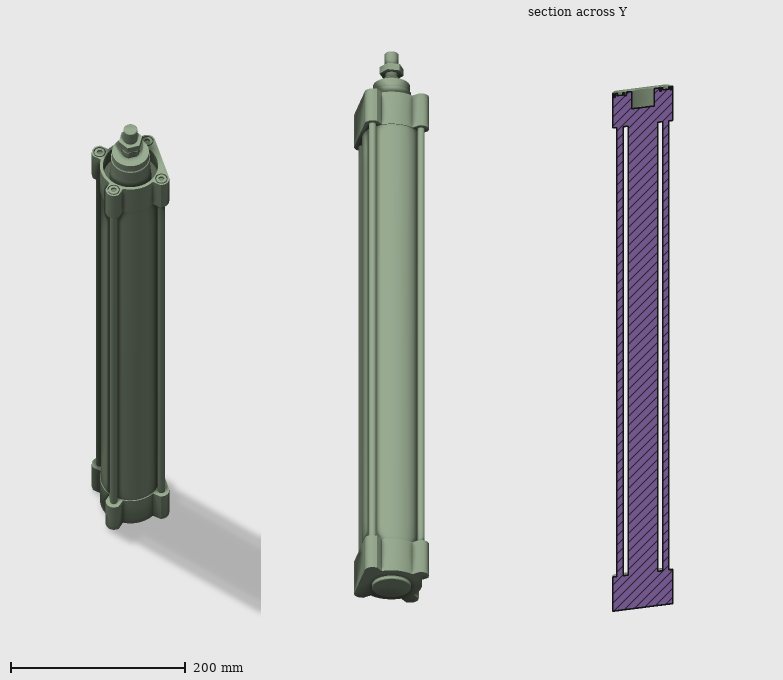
import cadquery as cq
import math

TOTAL_LENGTH = 693
BOSS_HEIGHT = 4.0
CAP_HEIGHT = 41.5
HEAD_TOP = 626.0
COLLAR_HEIGHT = 25.5
ROD_SHOULDER = 662.0
HEAD_BASE = HEAD_TOP - CAP_HEIGHT
REAR_CAP_TOP = BOSS_HEIGHT + CAP_HEIGHT
COLLAR_TOP = HEAD_TOP + COLLAR_HEIGHT

BARREL_DIAMETER = 68.0
CAP_DIAMETER = 70.0
CAP_WIDTH = 75.0
CAP_CORNER_RADIUS = 9.0
ARM_WIDTH = 17.0

TIE_ROD_SPACING = 57.0
TIE_ROD_DIAMETER = 8.0
COUNTERBORE_DIAMETER = 14.5
COUNTERBORE_DEPTH = 4.0
SCREW_HEAD_DIAMETER = 12.0
SOCKET_DIAMETER = 6.65
SOCKET_DEPTH = 3.0

COLLAR_DIAMETER = 45.0
STEP_CHAMFER = 1.05
NECK_HEIGHT = 10.0
NECK_BASE_DIAMETER = COLLAR_DIAMETER - 2 * STEP_CHAMFER
NECK_TOP_DIAMETER = 42.0
RECESS_DIAMETER = 63.0
RECESS_DEPTH = 21.0
ROOT_DIAMETER = 48.5
BOSS_CHAMFER = 1.0

ROD_DIAMETER = 20.0
THREAD_DIAMETER = 16.0
THREAD_CHAMFER = 1.0
UNDERCUT_DIAMETER = 14.5
ROD_CHAMFER = (ROD_DIAMETER - THREAD_DIAMETER) / 2
FLATS_WIDTH = 17.0

NUT_ACROSS_FLATS = 24.0
NUT_HEIGHT = 8.0
NUT_BASE = 667.0


def plane_at(level):
    return cq.Workplane("XY").workplane(offset=level)


def cylinder(diameter, base, top):
    return plane_at(base).circle(diameter / 2).extrude(top - base)


def cone(base_diameter, top_diameter, base, top):
    return cq.Workplane(
        cq.Solid.makeCone(base_diameter / 2, top_diameter / 2, top - base, cq.Vector(0, 0, base))
    )


def tie_rod_cylinders(diameter, base, top):
    """One cylinder on each of the four tie rod axes."""
    axes = plane_at(base).rect(TIE_ROD_SPACING, TIE_ROD_SPACING, forConstruction=True).vertices()
    return axes.circle(diameter / 2).extrude(top - base)


def make_cap(base):
    """Round cap with four diagonal lugs, filled out to a flat side toward +Y."""
    cap = cylinder(CAP_DIAMETER, base, base + CAP_HEIGHT)
    for angle in (45, 135):
        arm = plane_at(base).rect(2 * CAP_WIDTH, ARM_WIDTH).extrude(CAP_HEIGHT)
        cap = cap.union(arm.rotate((0, 0, 0), (0, 0, 1), angle))

    half_width = CAP_WIDTH / 2
    fill_corners = [(0, 0), (half_width, half_width), (-half_width, half_width)]
    fill = plane_at(base).polyline(fill_corners).close().extrude(CAP_HEIGHT)

    envelope = plane_at(base).rect(CAP_WIDTH, CAP_WIDTH).extrude(CAP_HEIGHT)
    envelope = envelope.edges("|Z").fillet(CAP_CORNER_RADIUS)
    return cap.union(fill).intersect(envelope)


def add_screw_heads(head):
    """Counterbored lugs, each with a socket screw head flush with the top of the head."""
    counterbore_floor = HEAD_TOP - COUNTERBORE_DEPTH
    counterbores = tie_rod_cylinders(COUNTERBORE_DIAMETER, counterbore_floor, HEAD_TOP)
    screw_heads = tie_rod_cylinders(SCREW_HEAD_DIAMETER, counterbore_floor, HEAD_TOP)
    sockets = tie_rod_cylinders(SOCKET_DIAMETER, HEAD_TOP - SOCKET_DEPTH, HEAD_TOP)
    return head.cut(counterbores).union(screw_heads).cut(sockets)


def make_collar():
    """Collar with a flared root in the recess and a slightly tapered neck on top."""
    step = COLLAR_TOP - NECK_HEIGHT
    root = cone(ROOT_DIAMETER, COLLAR_DIAMETER, HEAD_TOP - RECESS_DEPTH, HEAD_TOP)
    guide = cylinder(COLLAR_DIAMETER, HEAD_TOP, step).faces(">Z").chamfer(STEP_CHAMFER)
    neck = cone(NECK_BASE_DIAMETER, NECK_TOP_DIAMETER, step, COLLAR_TOP)
    return root.union(guide).union(neck)


def make_head():
    head = add_screw_heads(make_cap(HEAD_BASE))
    recess = cylinder(RECESS_DIAMETER, HEAD_TOP - RECESS_DEPTH, HEAD_TOP)
    return head.cut(recess).union(make_collar())


def make_rear_cap():
    boss = cylinder(COLLAR_DIAMETER, 0, BOSS_HEIGHT).faces("<Z").chamfer(BOSS_CHAMFER)
    return make_cap(BOSS_HEIGHT).union(boss)


def make_housing():
    barrel = cylinder(BARREL_DIAMETER, REAR_CAP_TOP, HEAD_BASE)
    tie_rods = tie_rod_cylinders(TIE_ROD_DIAMETER, REAR_CAP_TOP, HEAD_BASE)
    rod_bore = cylinder(ROD_DIAMETER, HEAD_BASE, COLLAR_TOP)
    return make_rear_cap().union(barrel).union(tie_rods).union(make_head()).cut(rod_bore)


def make_rod():
    shank = cylinder(ROD_DIAMETER, HEAD_BASE, ROD_SHOULDER).faces(">Z").chamfer(ROD_CHAMFER)
    flat_cutter = (
        plane_at(COLLAR_TOP)
        .rect(ROD_DIAMETER, ROD_DIAMETER)
        .rect(FLATS_WIDTH, ROD_DIAMETER)
        .extrude(ROD_SHOULDER - COLLAR_TOP)
    )
    undercut = cylinder(UNDERCUT_DIAMETER, ROD_SHOULDER, NUT_BASE)
    thread = cylinder(THREAD_DIAMETER, NUT_BASE, TOTAL_LENGTH).faces(">Z").chamfer(THREAD_CHAMFER)
    return shank.cut(flat_cutter).union(undercut).union(thread)


def make_nut():
    across_corners = NUT_ACROSS_FLATS / math.cos(math.pi / 6)
    nut = plane_at(NUT_BASE).polygon(6, across_corners).circle(THREAD_DIAMETER / 2).extrude(NUT_HEIGHT)
    return nut.rotate((0, 0, 0), (0, 0, 1), 30)


housing = make_housing()
rod = make_rod()
nut = make_nut()

result = cq.Compound.makeCompound([housing.val(), rod.val(), nut.val()])